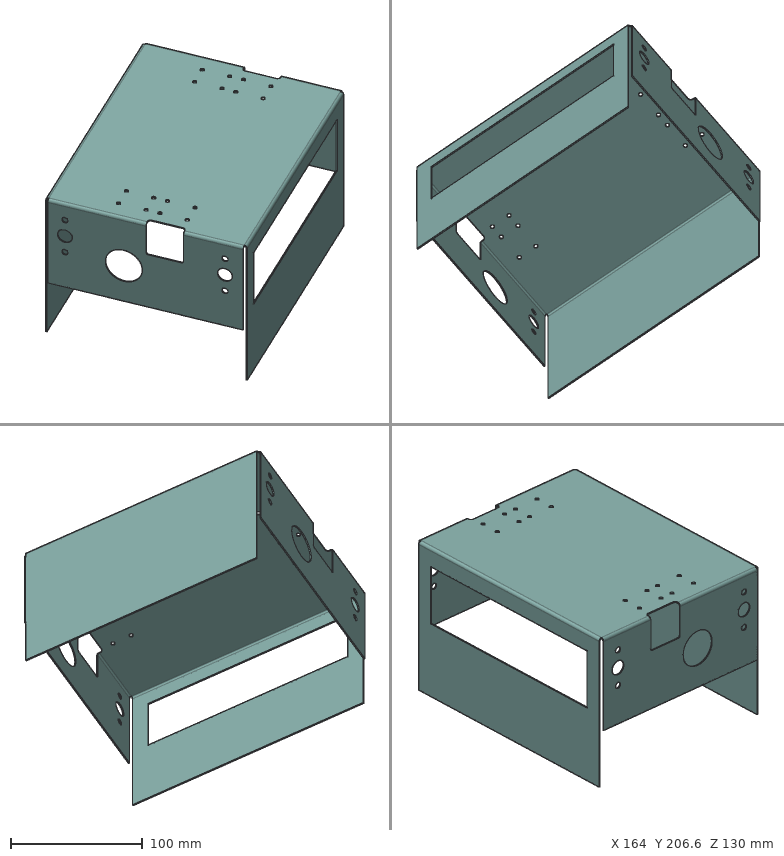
import cadquery as cq

length = 206.6
width = 164.0
height = 130.0
end_wall_height = 80.4
sheet = 1.0
bend_radius = 2.5
top_z = height / 2

small_hole_diameter = 5.0
medium_hole_diameter = 12.0
large_hole_diameter = 30.0
side_hole_x = 65.0
side_hole_center_x = -0.5
side_hole_depth = 31.2
small_hole_pitch = 15.5
large_hole_x = -17.5
large_hole_depth = 46.0

notch_width = 30.4
notch_x = 15.7
notch_depth = 29.8
notch_reach = 5.5
notch_wall_radius = 1.9
notch_top_radius = 2.5

window_length = 174.5
window_top_depth = 16.5
window_sill_depth = 66.3

mount_diameter = 3.0
mount_x_inner = 5.5
mount_x_outer = 27.9
mount_y_inner = 71.5
mount_y_outer = 87.4


def folded_channel(plane, span, drop, depth):
    """Inverted U of bent sheet, extruded symmetrically along the plane normal."""
    outer = (
        cq.Workplane(plane)
        .center(0, top_z - drop / 2)
        .rect(span, drop)
        .extrude(depth / 2, both=True)
    )
    fold_axis = "|Y" if plane == "XZ" else "|X"
    outer = outer.edges(fold_axis).edges(">Z").fillet(bend_radius)
    inner = (
        cq.Workplane(plane)
        .center(0, top_z - sheet - drop / 2)
        .rect(span - 2 * sheet, drop)
        .extrude(depth / 2, both=True)
        .edges(fold_axis)
        .edges(">Z")
        .fillet(bend_radius - sheet)
    )
    return outer.cut(inner)


def end_wall_holes(points, diameter):
    """Cylinders running the full length, through both end walls."""
    return (
        cq.Workplane("XZ")
        .pushPoints([(x, top_z - depth) for x, depth in points])
        .circle(diameter / 2)
        .extrude(length, both=True)
    )


def end_notch(end):
    """Cutter for the rounded notch in one end wall and the panel edge above it."""
    cutter = (
        cq.Workplane("XY")
        .box(notch_width, 2 * notch_reach, 2 * notch_depth)
        .edges("|Y")
        .fillet(notch_wall_radius)
    )
    plan = (
        cq.Workplane("XY")
        .rect(notch_width, 2 * notch_reach)
        .extrude(notch_depth, both=True)
        .edges("|Z")
        .fillet(notch_top_radius)
    )
    return cutter.intersect(plan).translate((notch_x, end * length / 2, top_z))


side_channel = folded_channel("XZ", width, height, length - 2 * bend_radius)
end_channel = folded_channel("YZ", length, end_wall_height, width - 2 * bend_radius)
cover = side_channel.union(end_channel)

small_holes = [
    (side_hole_center_x + side * side_hole_x, side_hole_depth + step * small_hole_pitch)
    for side in (-1, 1)
    for step in (-1, 1)
]
medium_holes = [(side_hole_center_x + side * side_hole_x, side_hole_depth) for side in (-1, 1)]
cover = cover.cut(end_wall_holes(small_holes, small_hole_diameter))
cover = cover.cut(end_wall_holes(medium_holes, medium_hole_diameter))
cover = cover.cut(end_wall_holes([(large_hole_x, large_hole_depth)], large_hole_diameter))

for end in (-1, 1):
    cover = cover.cut(end_notch(end))

window_height = window_sill_depth - window_top_depth
window = (
    cq.Workplane("XY")
    .box(2 * bend_radius, window_length, window_height)
    .translate((width / 2, 0, top_z - window_top_depth - window_height / 2))
)
cover = cover.cut(window)

mount_points = [
    (side * x, end * y)
    for side in (-1, 1)
    for x in (mount_x_inner, mount_x_outer)
    for end in (-1, 1)
    for y in (mount_y_inner, mount_y_outer)
]
mount_holes = (
    cq.Workplane("XY")
    .pushPoints(mount_points)
    .circle(mount_diameter / 2)
    .extrude(height)
)
result = cover.cut(mount_holes)